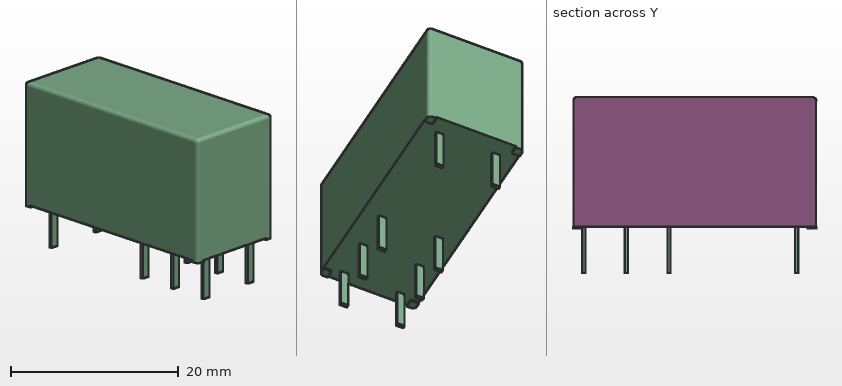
import cadquery as cq

case_length = 29.0
case_width = 12.7
total_height = 21.0
pin_drop = 5.5
case_height = total_height - pin_drop
edge_radius = 0.5

foot_size = 1.07
foot_height = 0.2

pin_thickness = 0.4
pin_width = 1.0
pin_pitch = 5.08
row_spacing = 7.5
first_pin_x = 2.35 - case_length / 2
pin_steps = (0, 3, 4, 5)


def make_case():
    """Case with rounded top and upright edges, standing on four corner feet."""
    block_height = case_height + foot_height
    case = (
        cq.Workplane("XY")
        .workplane(offset=-foot_height)
        .box(case_length, case_width, block_height, centered=(True, True, False))
        .edges("|Z or >Z")
        .fillet(edge_radius)
    )
    for length, width in (
        (case_length, case_width - 2 * foot_size),
        (case_length - 2 * foot_size, case_width),
    ):
        channel = (
            cq.Workplane("XY")
            .workplane(offset=-foot_height)
            .box(length, width, foot_height, centered=(True, True, False))
        )
        case = case.cut(channel)
    return case


def make_pins():
    """Both rows of pins, hanging from the underside of the case."""
    places = [
        (first_pin_x + step * pin_pitch, side * row_spacing / 2)
        for step in pin_steps
        for side in (-1, 1)
    ]
    return (
        cq.Workplane("XY")
        .pushPoints(places)
        .rect(pin_thickness, pin_width)
        .extrude(-pin_drop)
    )


result = make_case().union(make_pins())